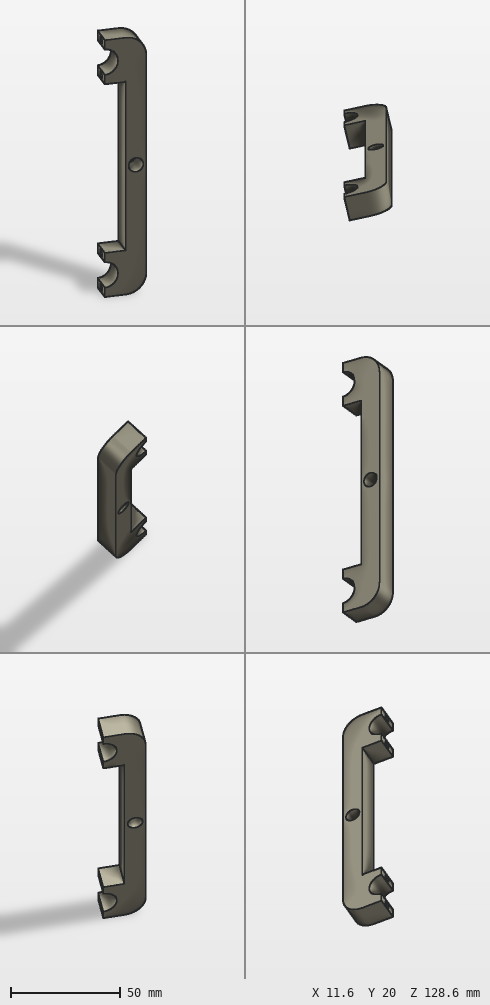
import cadquery as cq

length = 128.6
width = 11.6
depth = 20.0
bar_depth = 10.0
block_height = 22.1
corner_radius = 10.0
cradle_radius = 6.3
mount_hole_diameter = 7.0
screw_hole_diameter = 3.2
screw_hole_spacing = 17.4
screw_hole_depth = 10.0
screw_hole_offset = -0.3

pad_y = -depth / 2
back_y = depth / 2
bar_front_y = back_y - bar_depth
bar_center_y = back_y - bar_depth / 2
block_center_z = (length - block_height) / 2


def make_body():
    """C-shaped bar with an end block at the top and bottom and rounded back corners."""
    gap_depth = bar_front_y - pad_y
    gap_height = length - 2 * block_height
    body = cq.Workplane("XY").box(width, depth, length)
    body = body.edges("|X and >Y").fillet(corner_radius)
    gap = cq.Workplane("XY").box(width, gap_depth, gap_height)
    return body.cut(gap.translate((0, pad_y + gap_depth / 2, 0)))


def cross_cylinder(y, z, radius):
    """Cylinder along X spanning the full width."""
    return cq.Workplane("YZ").center(y, z).circle(radius).extrude(width / 2, both=True)


def screw_hole(z):
    """Blind hole running into a pad face along +Y."""
    start = cq.Vector(screw_hole_offset, pad_y, z)
    return cq.Solid.makeCylinder(screw_hole_diameter / 2, screw_hole_depth, start, cq.Vector(0, 1, 0))


result = make_body()
result = result.cut(cross_cylinder(bar_center_y, 0, mount_hole_diameter / 2))

for block_z in (-block_center_z, block_center_z):
    result = result.cut(cross_cylinder(pad_y, block_z, cradle_radius))
    for side in (-1, 1):
        result = result.cut(screw_hole(block_z + side * screw_hole_spacing / 2))